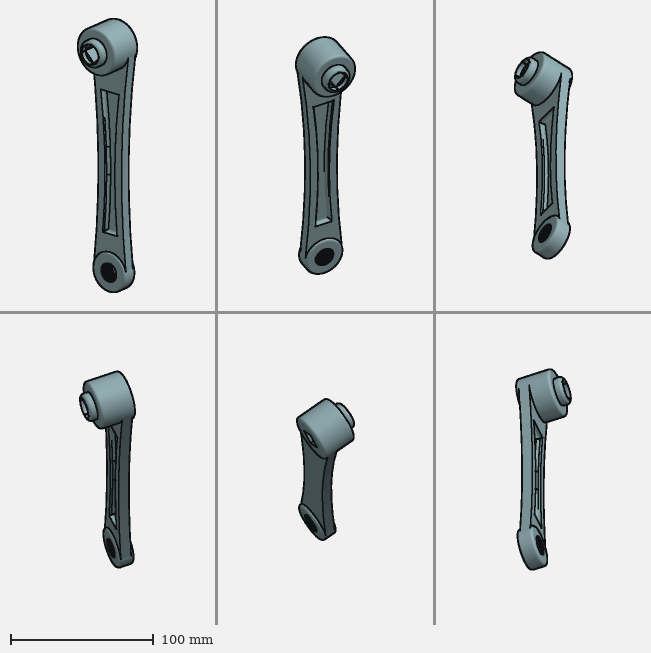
import cadquery as cq
import math

overall_length = 202.5
drive_hub_diameter = 35.0
drive_hub_length = 26.0
grip_hub_diameter = 30.0
grip_hub_length = 12.0
hub_fillet = 2.0

spigot_diameter = 20.2
spigot_length = 6.0
spigot_fillet = 2.8
spigot_bore_diameter = 15.0
spigot_bore_depth = 4.0
square_side = 11.0

thread_minor_diameter = 13.0
thread_major_diameter = 14.2
thread_pitch = 1.25
thread_groove_mouth = 1.0
thread_overlap = 0.1
thread_runout = 0.8

arm_back = 2.5
arm_thickness = 7.9
arm_top_drop = 4.9
arm_bottom_rise = 3.6
waist_z = -95.2
arm_waist_width = 21.3

pocket_top_z = -34.6
pocket_bottom_z = -141.5
pocket_top_width = 16.6
pocket_waist_width = 9.0
pocket_bottom_width = 13.2
pocket_depth = 3.8
pocket_floor_fillet = 2.0

drive_hub_radius = drive_hub_diameter / 2
grip_hub_radius = grip_hub_diameter / 2
grip_z = drive_hub_radius + grip_hub_radius - overall_length
arm_front = arm_back + arm_thickness
total_depth = drive_hub_length + spigot_length


def front_plane(depth, z=0):
    """Plane facing -Y, at the given distance in front of the back face."""
    return cq.Workplane("XZ", origin=(0, -depth, z))


def waisted_outline(plane, top, waist, bottom):
    """Outline mirrored about X = 0, with arc sides through three (half width, z) points."""
    return (
        plane.moveTo(-top[0], top[1])
        .lineTo(*top)
        .threePointArc(waist, bottom)
        .lineTo(-bottom[0], bottom[1])
        .threePointArc((-waist[0], waist[1]), (-top[0], top[1]))
        .close()
    )


def hub(diameter, length, z):
    """Round hub with both rims filleted."""
    return front_plane(0, z).circle(diameter / 2).extrude(length).edges().fillet(hub_fillet)


def arm():
    """Flat bar whose ends meet the rims of the two hubs."""
    top = (math.sqrt(drive_hub_radius**2 - arm_top_drop**2), -arm_top_drop)
    bottom = (math.sqrt(grip_hub_radius**2 - arm_bottom_rise**2), grip_z + arm_bottom_rise)
    waist = (arm_waist_width / 2, waist_z)
    return waisted_outline(front_plane(arm_back), top, waist, bottom).extrude(arm_thickness)


def spigot():
    """Short round nose on the front of the drive hub."""
    return (
        front_plane(drive_hub_length)
        .circle(spigot_diameter / 2)
        .extrude(spigot_length)
        .faces("<Y")
        .edges()
        .fillet(spigot_fillet)
    )


def spigot_bore():
    """Blind round bore in the end of the spigot; the square hole continues from its floor."""
    floor_depth = total_depth - spigot_bore_depth
    return front_plane(floor_depth).circle(spigot_bore_diameter / 2).extrude(spigot_bore_depth)


def pocket():
    """Waisted recess in the front of the arm, with a rounded edge around its floor."""
    top = (pocket_top_width / 2, pocket_top_z)
    waist = (pocket_waist_width / 2, waist_z)
    bottom = (pocket_bottom_width / 2, pocket_bottom_z)
    return (
        waisted_outline(front_plane(arm_front - pocket_depth), top, waist, bottom)
        .extrude(pocket_depth)
        .faces(">Y")
        .edges()
        .fillet(pocket_floor_fillet)
    )


def square_drive():
    """Square through hole standing on a corner."""
    return front_plane(0).transformed(rotate=(0, 0, 45)).rect(square_side, square_side).extrude(total_depth)


def threaded_hole():
    """Cutters for the through hole of the grip hub: a plain bore and a helical V groove."""
    bore = front_plane(0, grip_z).circle(thread_minor_diameter / 2).extrude(grip_hub_length)
    tip = thread_major_diameter / 2
    mouth = thread_minor_diameter / 2 - thread_overlap
    half_mouth = thread_groove_mouth / 2 * (tip - mouth) / (tip - thread_minor_diameter / 2)
    path = cq.Wire.makeHelix(thread_pitch, grip_hub_length + 2 * thread_runout, mouth)
    groove = (
        cq.Workplane("XZ")
        .polyline([(mouth, -half_mouth), (tip, 0), (mouth, half_mouth)])
        .close()
        .sweep(cq.Workplane(path), isFrenet=True)
        .rotate((0, 0, 0), (1, 0, 0), 90)
        .translate((0, thread_runout, grip_z))
    )
    return bore, groove


result = (
    arm()
    .cut(pocket())
    .union(hub(drive_hub_diameter, drive_hub_length, 0))
    .union(hub(grip_hub_diameter, grip_hub_length, grip_z))
    .union(spigot())
    .cut(spigot_bore())
    .cut(square_drive())
)

bore, groove = threaded_hole()
result = result.cut(bore).cut(groove)